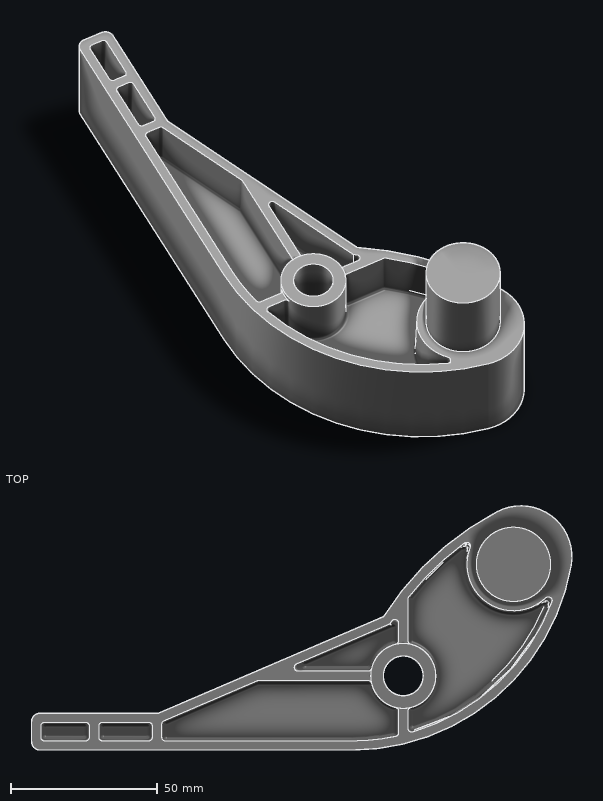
import cadquery as cq
import math


lever_height = 38.1
wall = 3.175
pocket_depth = 17.0
pocket_floor_z = lever_height - pocket_depth
draft_angle = 2.0
pocket_corner_radius = 1.3
pocket_floor_radius = 1.4
smooth_angle = math.radians(5)

handle_end_x = -127.0
lower_side_y = -25.4
handle_width = 12.7
handle_corner_radius = 3.0
handle_top_y = lower_side_y + handle_width
handle_divider_x = (-105.6, -84.1)

slope_start = (-83.6, handle_top_y)
slope_end = (-6.7, 20.3)

belly_radius = 76.2
belly_start = (-17.65, lower_side_y)
tip_center = (40.2, 40.66)
back_radius = 101.6

boss_diameter = 22.225
bore_diameter = 13.5
boss_top = lever_height + 2.1

pin_center = (37.65, 38.1)
pin_diameter = 25.4
pin_top = 66.67
pin_seat_radius = pin_diameter / 2 + wall


def point_toward(origin, target, distance):
    """Point at a distance from origin, on the line to the target."""
    span = math.dist(origin, target)
    return tuple(o + (t - o) * distance / span for o, t in zip(origin, target))


def circle_crossing(center_a, radius_a, center_b, radius_b):
    """Crossing of two circles that lies to the right of the line from a to b."""
    span = math.dist(center_a, center_b)
    along = (radius_a**2 - radius_b**2 + span**2) / (2 * span)
    across = math.sqrt(radius_a**2 - along**2)
    ux = (center_b[0] - center_a[0]) / span
    uy = (center_b[1] - center_a[1]) / span
    return (center_a[0] + along * ux + across * uy, center_a[1] + along * uy - across * ux)


def arc_middle(center, radius, start, end):
    """Middle point of the shorter arc between two points of a circle."""
    chord_middle = ((start[0] + end[0]) / 2, (start[1] + end[1]) / 2)
    return point_toward(center, chord_middle, radius)


belly_center = (belly_start[0], lower_side_y + belly_radius)
tip_radius = belly_radius - math.dist(belly_center, tip_center)
back_center = circle_crossing(slope_end, back_radius, tip_center, back_radius - tip_radius)
belly_end = point_toward(belly_center, tip_center, belly_radius)
back_start = point_toward(back_center, tip_center, back_radius)
belly_middle = arc_middle(belly_center, belly_radius, belly_start, belly_end)
tip_middle = arc_middle(tip_center, tip_radius, belly_end, back_start)
back_middle = arc_middle(back_center, back_radius, back_start, slope_end)


def lever_outline(z):
    return (
        cq.Workplane("XY", origin=(0, 0, z))
        .moveTo(handle_end_x, lower_side_y)
        .lineTo(*belly_start)
        .threePointArc(belly_middle, belly_end)
        .threePointArc(tip_middle, back_start)
        .threePointArc(back_middle, slope_end)
        .lineTo(*slope_start)
        .lineTo(handle_end_x, handle_top_y)
        .close()
    )


def cylinder(center, radius, bottom, top):
    return cq.Workplane("XY", origin=(*center, bottom)).circle(radius).extrude(top - bottom)


def space_inside_rim(taper):
    """Everything inside the rim, from the top face down to the pocket floor."""
    inner_outline = lever_outline(lever_height).offset2D(-wall, "intersection")
    return inner_outline.extrude(-pocket_depth, taper=taper)


def drafted_wall(x_size, y_size, x, y):
    """Straight inner wall around a centre point, thickening towards the floor."""
    top_outline = cq.Workplane("XY", origin=(x, y, lever_height)).rect(x_size, y_size)
    return top_outline.extrude(-pocket_depth, taper=-draft_angle)


def drafted_pin_seat():
    """Solid round column below the pin, thickening towards the floor."""
    top_outline = cq.Workplane("XY", origin=(*pin_center, lever_height)).circle(pin_seat_radius)
    return top_outline.extrude(-pocket_depth, taper=-draft_angle)


def is_corner(edge, solid):
    """True for an edge from top to floor where two pocket walls meet at an angle."""
    faces = edge.ancestors(solid, "Face").Faces()
    if edge.BoundingBox().zlen < pocket_depth / 2 or len(faces) < 2:
        return False
    first_normal, second_normal = [face.normalAt(edge.positionAt(0.5)) for face in faces]
    return first_normal.getAngle(second_normal) > smooth_angle


def rounded_pocket(pocket):
    corners = [edge for edge in pocket.Edges() if is_corner(edge, pocket)]
    rounded = cq.Workplane(pocket).newObject(corners).fillet(pocket_corner_radius)
    return rounded.faces("<Z").edges().fillet(pocket_floor_radius)


def make_pockets():
    """The space inside the rim, parted by the inner walls, as a list of rounded pockets."""
    space = space_inside_rim(draft_angle)

    upright_zone = (
        cq.Workplane("XY", origin=(handle_divider_x[-1], lower_side_y, pocket_floor_z))
        .rect(-handle_divider_x[-1], handle_width / 2, centered=False)
        .extrude(pocket_depth)
    )
    space = space.union(space_inside_rim(0).intersect(upright_zone))

    wall_span = 2 * abs(handle_end_x)
    for x in (*handle_divider_x, 0):
        space = space.cut(drafted_wall(wall, wall_span, x, 0))
    space = space.cut(drafted_wall(wall_span, wall, -wall_span / 2, 0))

    tip_fill_radius = tip_radius - 0.9 * wall
    space = space.cut(cylinder((0, 0), boss_diameter / 2, pocket_floor_z, lever_height))
    space = space.cut(drafted_pin_seat())
    space = space.cut(cylinder(tip_center, tip_fill_radius, pocket_floor_z, lever_height))
    return [rounded_pocket(pocket) for pocket in space.solids().vals()]


def make_lever():
    body = lever_outline(0).extrude(lever_height)
    body = body.edges("|Z and <X").fillet(handle_corner_radius)
    for pocket in make_pockets():
        body = body.cut(pocket)
    body = body.union(cylinder((0, 0), boss_diameter / 2, 0, boss_top))
    return body.cut(cylinder((0, 0), bore_diameter / 2, 0, boss_top))


def make_pin():
    return cylinder(pin_center, pin_diameter / 2, lever_height, pin_top)


lever = make_lever()
pin = make_pin()

result = cq.Compound.makeCompound([lever.val(), pin.val()])